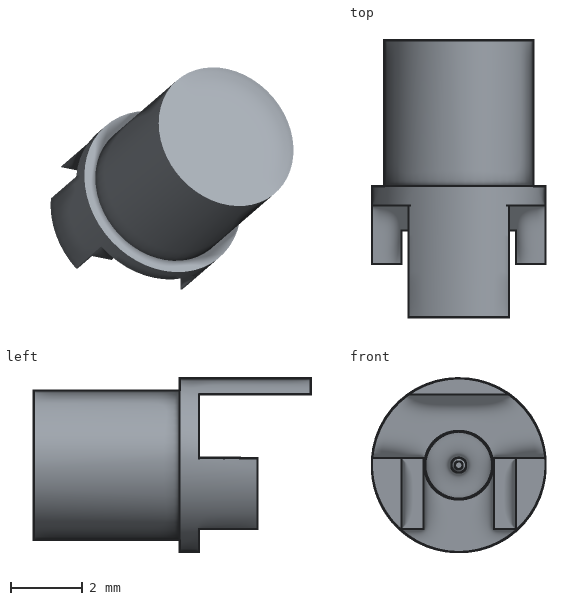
import cadquery as cq

total_length = 7.8
leg_tip_y = 1.5
leg_step_y = 2.44
flange_front_y = 3.14
flange_back_y = 3.69

flange_diameter = 4.9
barrel_diameter = 4.21

lip_bottom_z = 2.0
leg_top_z = 0.2
leg_bottom_z = -1.8
leg_inner_x = 1.0
leg_step_x = 1.61

recess_mouth_diameter = 1.935
insulator_diameter = 1.89
recess_depth = 0.08
pin_diameter = 0.42
pin_tip_y = 1.895
pin_chamfer = 0.1


def cylinder(diameter, start_y, end_y):
    """Solid cylinder on the Y axis between two stations."""
    profile = cq.Workplane("XZ", origin=(0, start_y, 0)).circle(diameter / 2)
    return profile.extrude(start_y - end_y)


def block(x_range, y_range, z_range):
    """Axis-aligned box given by its limits."""
    size = [high - low for low, high in (x_range, y_range, z_range)]
    corner = (x_range[0], y_range[0], z_range[0])
    return cq.Workplane("XY").box(*size, centered=False).translate(corner)


flange_radius = flange_diameter / 2
envelope = cylinder(flange_diameter, 0, flange_back_y)
lip = envelope.intersect(
    block(
        (-flange_radius, flange_radius),
        (0, flange_back_y),
        (lip_bottom_z, flange_radius),
    )
)

leg_z = (leg_bottom_z, leg_top_z)
short_part = block((leg_inner_x, flange_radius), (leg_step_y, flange_back_y), leg_z)
long_part = block((leg_step_x, flange_radius), (leg_tip_y, flange_back_y), leg_z)
right_leg = short_part.union(long_part).intersect(envelope)
left_leg = right_leg.mirror("YZ")

body = cylinder(barrel_diameter, flange_back_y, total_length)
body = body.union(cylinder(flange_diameter, flange_front_y, flange_back_y))
body = body.union(lip).union(right_leg).union(left_leg)

recess = cq.Workplane("XZ", origin=(0, flange_front_y, 0)).circle(recess_mouth_diameter / 2)
recess = recess.workplane(offset=-recess_depth).circle(insulator_diameter / 2).loft()
body = body.cut(recess)

pin = cylinder(pin_diameter, pin_tip_y, flange_back_y).faces("<Y").chamfer(pin_chamfer)

result = body.union(pin)